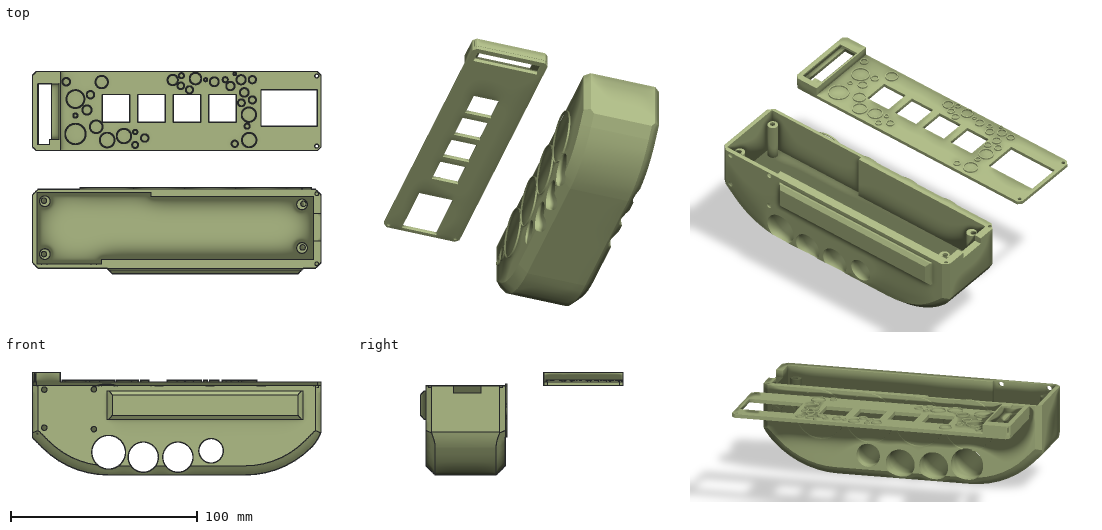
import cadquery as cq
import math

LENGTH = 154.7
WIDTH = 42.5
HOUSING_HEIGHT = 48.0
RING_HEIGHT = 1.0
RING_WALL = 0.5
CORNER_HOLE_DIAMETER = 2.0
CORNER_HOLE_X = 152.3
CORNER_HOLE_INSET_Y = 2.5
CORNER_HOLE_YS = (CORNER_HOLE_INSET_Y, WIDTH - CORNER_HOLE_INSET_Y)

HULL_RADIUS = 50.0
HULL_RUN = 40.7
HULL_RISE = HULL_RADIUS * (1 - math.cos(math.pi / 4))
HULL_CURVE_RUN = HULL_RADIUS * math.sin(math.pi / 4)
SLOPE_RUN = HULL_RUN - HULL_CURVE_RUN
NOSE_TOP = 23.0
UPRIGHT_CHAMFER = 3.1
BOTTOM_CHAMFER = 5.0
OVERRUN = 3.1

FLOOR_HEIGHT = 22.0
CAVITY_X = (2.3, 150.6)
CAVITY_Y = (5.0, 38.5)
FRONT_RECESS = (2.3, 37.0)
BACK_RECESS = (40.7, 63.5)

NOTCH_Y = (14.7, 29.4)
NOTCH_DEPTH = 3.9

POST_DIAMETER = 5.7
POST_HEIGHT = 21.2
POST_HOLE_DIAMETER = 3.0
POST_HOLE_DEPTH = 9.3
POSTS = (
    (6.7, 7.7, 6.2, 7.7),
    (6.7, 36.0, 6.2, 36.3),
    (144.5, 11.0, 144.8, 11.3),
    (144.5, 34.3, 145.2, 34.6),
)

GRIP_X = (40.0, 145.0)
GRIP_Z = (29.8, 45.2)
GRIP_DEPTH = 3.0
GRIP_STEP = 1.0
GRIP_TAPER_X = 2.8
GRIP_TAPER_Z = 2.2

CROSS_BORES = (
    (40.8, 12.2, 18.0),
    (59.4, 9.6, 16.1),
    (78.0, 9.6, 16.1),
    (95.7, 13.0, 13.0),
)

FRONT_HOLE_DIAMETER = 3.0
FRONT_HOLES = ((6.3, 45.8), (33.0, 46.0), (6.3, 25.4), (33.0, 24.6))
HOUSING_CORNER_HOLE_DEPTH = 1.1

BACK_RINGS = (
    (39.7, 34.5, 28.8),
    (67.7, 34.0, 27.5),
    (95.1, 34.0, 27.5),
    (122.5, 34.0, 27.5),
    (140.3, 34.0, 8.2),
    (147.1, 34.0, 4.8),
)

PANEL_Y = 63.1
PANEL_THICKNESS = 2.0
PANEL_CHAMFER = 2.0
PANEL_SETBACK = 0.2
BLOCK_LENGTH = 15.0
BLOCK_HEIGHT = 7.1

BLOCK_WALL = 0.85
MOUTH_X = (2.6, BLOCK_LENGTH - BLOCK_WALL)
MOUTH_Y = (6.0, 35.9)
MOUTH_FOOT_X = 9.1
MOUTH_FOOT_Y = 3.4
SLOT_X = (3.2, 10.2)
SLOT_Y = (MOUTH_FOOT_Y, WIDTH - MOUTH_FOOT_Y)

KEY_WINDOW = 14.7
KEY_WINDOW_COUNT = 4
KEY_WINDOW_PITCH = 19.0
KEY_WINDOW_X = 37.5
KEY_WINDOW_Y = 15.3
SCREEN_X = (122.5, 152.5)
SCREEN_Y = (13.1, 32.6)

PANEL_RINGS = (
    (18.1, 37.0, 4.5), (37.1, 36.8, 7.1), (23.0, 27.7, 10.0), (31.1, 30.0, 4.5),
    (29.2, 21.8, 5.4), (23.0, 18.9, 2.8), (23.0, 9.0, 11.5), (34.2, 12.8, 7.3),
    (40.0, 5.7, 8.4), (49.0, 7.9, 8.2), (55.0, 10.0, 2.8), (55.0, 3.1, 3.7),
    (60.2, 6.8, 4.5), (75.2, 37.9, 6.0), (79.8, 40.2, 3.2), (79.5, 34.8, 4.0),
    (87.4, 38.7, 6.7), (84.1, 32.6, 4.3), (92.8, 38.0, 2.2), (97.5, 37.0, 5.3),
    (103.3, 38.0, 3.2), (106.1, 34.6, 5.0), (108.4, 41.1, 1.9), (111.8, 38.0, 5.4),
    (117.9, 38.0, 4.3), (113.5, 31.2, 5.1), (117.9, 27.2, 4.3), (112.0, 25.7, 4.2),
    (116.0, 19.3, 8.2), (115.0, 13.1, 3.2), (116.1, 5.7, 8.2), (108.4, 3.7, 3.9),
)


def box(x_range, y_range, z_range):
    """Box between two limits on each axis."""
    size = [high - low for low, high in (x_range, y_range, z_range)]
    return cq.Workplane("XY").box(*size, centered=False).translate(
        (x_range[0], y_range[0], z_range[0])
    )


def rod(x, y, z, diameter, height):
    """Upright cylinder standing on the point (x, y, z)."""
    return cq.Workplane("XY", origin=(x, y, z)).circle(diameter / 2).extrude(height)


def rod_along_y(x, y, z, diameter, length):
    """Cylinder starting at the point (x, y, z) and running towards +Y."""
    return cq.Workplane("XZ", origin=(x, y, z)).circle(diameter / 2).extrude(-length)


def hull():
    """Boat-shaped outer block with chamfered upright and bottom edges."""
    arc_x = HULL_RUN - HULL_RADIUS * math.sin(math.pi / 8)
    arc_z = HULL_RADIUS * (1 - math.cos(math.pi / 8))
    slope_top = HULL_RISE + SLOPE_RUN + OVERRUN
    blank_top = HOUSING_HEIGHT + BOTTOM_CHAMFER
    blank = (
        cq.Workplane("XZ")
        .moveTo(-OVERRUN, blank_top)
        .lineTo(-OVERRUN, slope_top)
        .lineTo(SLOPE_RUN, HULL_RISE)
        .threePointArc((arc_x, arc_z), (HULL_RUN, 0))
        .lineTo(LENGTH - HULL_RUN, 0)
        .threePointArc((LENGTH - arc_x, arc_z), (LENGTH - SLOPE_RUN, HULL_RISE))
        .lineTo(LENGTH + OVERRUN, slope_top)
        .lineTo(LENGTH + OVERRUN, blank_top)
        .close()
        .extrude(-WIDTH)
        .faces("<Y or >Y")
        .chamfer(BOTTOM_CHAMFER)
    )
    plan = box((0, LENGTH), (0, WIDTH), (0, HOUSING_HEIGHT))
    return blank.intersect(plan.edges("|Z").chamfer(UPRIGHT_CHAMFER))


def nose_trim():
    """Material outside the curved nose that rounds the +X slope into the end wall."""
    rise = NOSE_TOP - HULL_RISE
    diagonal = math.sqrt(0.5)
    radius = (SLOPE_RUN**2 + rise**2) / (2 * diagonal * (rise - SLOPE_RUN))
    centre_x = LENGTH - SLOPE_RUN - radius * diagonal
    centre_z = HULL_RISE + radius * diagonal
    middle_angle = (math.atan2(NOSE_TOP - centre_z, LENGTH - centre_x) - math.pi / 4) / 2
    middle = (
        centre_x + radius * math.cos(middle_angle),
        centre_z + radius * math.sin(middle_angle),
    )
    return (
        cq.Workplane("XZ")
        .moveTo(LENGTH - SLOPE_RUN, HULL_RISE)
        .threePointArc(middle, (LENGTH, NOSE_TOP))
        .lineTo(LENGTH + OVERRUN, NOSE_TOP)
        .lineTo(LENGTH + OVERRUN, HULL_RISE)
        .close()
        .extrude(-WIDTH)
    )


def cavity():
    """Stepped trough: the walls are thinner towards -X."""
    z_range = (FLOOR_HEIGHT, HOUSING_HEIGHT)
    front_wall, front_step = FRONT_RECESS
    back_wall, back_step = BACK_RECESS
    trough = box(CAVITY_X, CAVITY_Y, z_range)
    front = box((CAVITY_X[0], front_step), (front_wall, CAVITY_Y[1]), z_range)
    back = box((CAVITY_X[0], back_step), (CAVITY_Y[0], back_wall), z_range)
    return trough.union(front).union(back)


def grip():
    """Raised bar on the front wall: ends slope from the wall, top and bottom from a low step."""
    left, right = GRIP_X
    bottom, top = GRIP_Z
    plan = (
        cq.Workplane("XY", origin=(0, 0, bottom))
        .moveTo(left, 0)
        .lineTo(left + GRIP_TAPER_X, -GRIP_DEPTH)
        .lineTo(right - GRIP_TAPER_X, -GRIP_DEPTH)
        .lineTo(right, 0)
        .close()
        .extrude(top - bottom)
    )
    section = (
        cq.Workplane("YZ", origin=(left, 0, 0))
        .moveTo(0, bottom)
        .lineTo(-GRIP_STEP, bottom)
        .lineTo(-GRIP_DEPTH, bottom + GRIP_TAPER_Z)
        .lineTo(-GRIP_DEPTH, top - GRIP_TAPER_Z)
        .lineTo(-GRIP_STEP, top)
        .lineTo(0, top)
        .close()
        .extrude(right - left)
    )
    return plan.intersect(section)


def make_housing():
    body = hull().cut(nose_trim()).cut(cavity()).union(grip())

    notch = box((CAVITY_X[1], LENGTH), NOTCH_Y, (HOUSING_HEIGHT - NOTCH_DEPTH, HOUSING_HEIGHT))
    body = body.cut(notch)

    post_top = FLOOR_HEIGHT + POST_HEIGHT
    for x, y, hole_x, hole_y in POSTS:
        body = body.union(rod(x, y, FLOOR_HEIGHT, POST_DIAMETER, POST_HEIGHT))
        hole_bottom = post_top - POST_HOLE_DEPTH
        body = body.cut(rod(hole_x, hole_y, hole_bottom, POST_HOLE_DIAMETER, POST_HOLE_DEPTH))

    for x, z, diameter in BACK_RINGS:
        outer = rod_along_y(x, WIDTH, z, diameter, RING_HEIGHT)
        inner = rod_along_y(x, WIDTH, z, diameter - 2 * RING_WALL, RING_HEIGHT)
        body = body.union(outer.cut(inner))

    for x, z, diameter in CROSS_BORES:
        body = body.cut(rod_along_y(x, 0, z, diameter, WIDTH + RING_HEIGHT))

    for x, z in FRONT_HOLES:
        body = body.cut(rod_along_y(x, 0, z, FRONT_HOLE_DIAMETER, FRONT_RECESS[0]))

    hole_bottom = HOUSING_HEIGHT - HOUSING_CORNER_HOLE_DEPTH
    for y in CORNER_HOLE_YS:
        hole = rod(CORNER_HOLE_X, y, hole_bottom, CORNER_HOLE_DIAMETER, HOUSING_CORNER_HOLE_DEPTH)
        body = body.cut(hole)
    return body


def panel_blank():
    """Flat plate with the raised block at its -X end, corners chamfered."""
    plate = box((PANEL_SETBACK, LENGTH), (0, WIDTH), (0, PANEL_THICKNESS))
    plate = plate.edges("|Z").chamfer(PANEL_CHAMFER)
    block = box((0, BLOCK_LENGTH), (0, WIDTH), (PANEL_THICKNESS, BLOCK_HEIGHT))
    block = block.edges("|Z and <X").chamfer(PANEL_CHAMFER)
    return plate.union(block)


def panel_openings():
    """Slot, key windows, screen window and corner screw holes through the plate."""
    z_range = (0, PANEL_THICKNESS)
    openings = box(SLOT_X, SLOT_Y, z_range)
    for index in range(KEY_WINDOW_COUNT):
        x = KEY_WINDOW_X + index * KEY_WINDOW_PITCH
        window = box((x, x + KEY_WINDOW), (KEY_WINDOW_Y, KEY_WINDOW_Y + KEY_WINDOW), z_range)
        openings = openings.union(window)
    openings = openings.union(box(SCREEN_X, SCREEN_Y, z_range))
    for y in CORNER_HOLE_YS:
        openings = openings.union(rod(CORNER_HOLE_X, y, 0, CORNER_HOLE_DIAMETER, PANEL_THICKNESS))
    return openings


def block_cavity():
    """Hollow of the raised block; its corners break out as slits in the chamfers."""
    x_range = (BLOCK_WALL, BLOCK_LENGTH - BLOCK_WALL)
    y_range = (BLOCK_WALL, WIDTH - BLOCK_WALL)
    return box(x_range, y_range, (PANEL_THICKNESS, BLOCK_HEIGHT - BLOCK_WALL))


def block_mouth():
    """Opening in the top of the block, with a narrow foot at -Y."""
    z_range = (BLOCK_HEIGHT - BLOCK_WALL, BLOCK_HEIGHT)
    main = box(MOUTH_X, MOUTH_Y, z_range)
    foot = box((MOUTH_X[0], MOUTH_FOOT_X), (MOUTH_FOOT_Y, MOUTH_Y[0]), z_range)
    return main.union(foot)


def make_panel():
    body = panel_blank().cut(panel_openings()).cut(block_cavity()).cut(block_mouth())

    for x, y, diameter in PANEL_RINGS:
        outer = rod(x, y, PANEL_THICKNESS, diameter, RING_HEIGHT)
        inner = rod(x, y, PANEL_THICKNESS, diameter - 2 * RING_WALL, RING_HEIGHT)
        body = body.union(outer.cut(inner))
    return body.translate((0, PANEL_Y, HOUSING_HEIGHT))


housing = make_housing()
panel = make_panel()
result = cq.Compound.makeCompound([housing.val(), panel.val()])